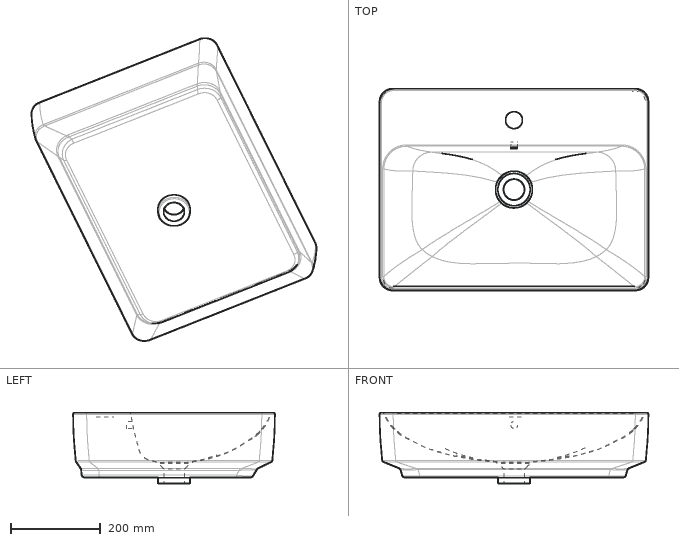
import cadquery as cq
import math

length = 599.0
width = 450.0
height = 158.0

margin = 0.5

wall_draft = 6.0
wall_bow = 1.5
wall_radius = 30.0
wall_bottom_z = 49.0
rim_fillet = 4.0
lower_edge_fillet = 4.0

foot_top_z = 33.0
foot_bottom_z = 13.0
foot_radius = 39.0
foot_edge_fillet = 8.5
foot_neck_fillet = 6.0
foot_top_half, foot_top_front, foot_top_rear = 253.5, -186.0, 207.0
foot_half, foot_front, foot_rear = 248.0, -174.0, 205.5

rim_width = 8.5
basin_half = length / 2 - rim_width
basin_front = -width / 2 + rim_width
deck_front = 97.5
basin_rear_corner = (51.0, 51.0)
basin_front_corner = (23.0, 23.0)
basin_fillet = 3.0
floor_edge_z = 96.0
floor_half, floor_front, floor_rear = 226.0, -163.0, 84.0
floor_front_corner = (43.0, 30.0)
floor_rear_radius = 42.0
floor_bows = (14.5, 21.0)
floor_slopes = (27, 44)
drain_z = 47.5
floor_levels = [
    (drain_z, 27.5, -27.5, 27.5),
    (57.0, 108.0, -81.0, 65.0),
    (75.0, 180.0, -129.0, 78.5),
]

middle_z = 123.0
middle_half, middle_front, middle_rear = 266.5, -196.0, 90.5
middle_front_corner = (30.0, 27.5)
middle_rear_corner = (48.0, 48.0)
middle_bows = (5.0, 7.0)
middle_slopes = (10, 72)

collar_diameter = 72.0
collar_fillet = 2.5
drain_rim_diameter = 82.0
drain_cone_diameter = 72.0
drain_cone_top = 45.5
drain_diameter = 46.0
drain_cone_z = 33.0
drain_clearance = 6.0

tap_diameter = 38.0
tap_y = 154.5
tap_depth = 9.0
overflow_diameter = 15.5
overflow_z = 131.0
overflow_depth = 9.0


def rounded_outline(z, half, front, rear, radius):
    """Closed rectangle, symmetric in X, with round corners."""
    return outline(z, half, front, rear, (radius, radius), (radius, radius))


def outline(z, half, front, rear, front_corner, rear_corner, bows=(0, 0), slopes=(0, 90)):
    """Closed four-sided outline, symmetric in X.

    The (X, Y) setbacks of the corners give where the corner arcs start and end.
    bows are how far the front and side edges have curved inward where they meet the front corner,
    and slopes are the angles of those two edges to the X axis at that corner.
    """
    front_bow, side_bow = bows
    front_slope, side_slope = (math.radians(slope) for slope in slopes)
    front_start = cq.Vector(half - front_corner[0], front + front_bow)
    front_end = cq.Vector(half - side_bow, front + front_corner[1])
    rear_start = cq.Vector(half, rear - rear_corner[1])
    rear_end = cq.Vector(half - rear_corner[0], rear)
    front_tangent = cq.Vector(math.cos(front_slope), math.sin(front_slope))
    side_tangent = cq.Vector(math.cos(side_slope), math.sin(side_slope))

    def mirrored(point):
        return cq.Vector(-point.x, point.y)

    def arc_middle(start, end, turn):
        """Middle of an arc from start to end that turns left by the given angle."""
        chord = end - start
        outward = cq.Vector(chord.y, -chord.x)
        return (start + end) * 0.5 + outward * (math.tan(turn / 4) / 2)

    front_middle = arc_middle(front_start, front_end, side_slope - front_slope)
    rear_middle = arc_middle(rear_start, rear_end, math.pi / 2)

    front_mirror_tangent = cq.Vector(front_tangent.x, -front_tangent.y)
    side_mirror_tangent = cq.Vector(side_tangent.x, -side_tangent.y)
    if front_bow:
        front_edge = cq.Edge.makeSpline(
            [mirrored(front_start), cq.Vector(0, front), front_start],
            tangents=[front_mirror_tangent, front_tangent])
    else:
        front_edge = cq.Edge.makeLine(mirrored(front_start), front_start)
    if side_bow:
        right_edge = cq.Edge.makeSpline([front_end, rear_start], tangents=[side_tangent, cq.Vector(0, 1)])
        left_edge = cq.Edge.makeSpline(
            [mirrored(rear_start), mirrored(front_end)], tangents=[cq.Vector(0, -1), side_mirror_tangent])
    else:
        right_edge = cq.Edge.makeLine(front_end, rear_start)
        left_edge = cq.Edge.makeLine(mirrored(rear_start), mirrored(front_end))
    edges = [
        front_edge,
        cq.Edge.makeThreePointArc(front_start, front_middle, front_end),
        right_edge,
        cq.Edge.makeThreePointArc(rear_start, rear_middle, rear_end),
        cq.Edge.makeLine(rear_end, mirrored(rear_end)),
        cq.Edge.makeThreePointArc(mirrored(rear_end), mirrored(rear_middle), mirrored(rear_start)),
        left_edge,
        cq.Edge.makeThreePointArc(mirrored(front_end), mirrored(front_middle), mirrored(front_start)),
    ]
    return cq.Wire.assembleEdges(edges).translate(cq.Vector(0, 0, z))


def loft(sections, ruled=False):
    return cq.Workplane(cq.Solid.makeLoft(sections, ruled))


def level_selector(z, half_x=length, front=-width, rear=width):
    """Selects what lies flat at one height, within the given outer limits."""
    return cq.selectors.BoxSelector(
        (-half_x - margin, front - margin, z - margin),
        (half_x + margin, rear + margin, z + margin),
        boundingbox=True)


def wall_outline(z, inset):
    half_y = width / 2 - inset
    return rounded_outline(z, length / 2 - inset, -half_y, half_y, wall_radius)


def make_body():
    wall_middle_z = (height + wall_bottom_z) / 2
    wall_bottom = wall_outline(wall_bottom_z, wall_draft)
    shell = loft([wall_bottom, wall_outline(wall_middle_z, wall_bow), wall_outline(height, 0)])

    foot_top = rounded_outline(foot_top_z, foot_top_half, foot_top_front, foot_top_rear, foot_radius)
    foot_bottom = rounded_outline(foot_bottom_z, foot_half, foot_front, foot_rear, foot_radius)
    underside = loft([foot_bottom, foot_top, wall_bottom], ruled=True)
    underside = underside.faces("<Z").edges().fillet(foot_edge_fillet)
    underside = underside.edges(level_selector(foot_top_z)).fillet(foot_neck_fillet)

    body = shell.union(underside)
    body = body.faces(">Z").edges().fillet(rim_fillet)
    body = body.edges(level_selector(wall_bottom_z)).fillet(lower_edge_fillet)

    collar = cq.Workplane("XY").circle(collar_diameter / 2).extrude(drain_cone_z)
    return body.union(collar.faces("<Z").edges().fillet(collar_fillet))


def floor_outline(z, half, front, rear):
    """Floor edge outline stretched to other half length, front and rear."""
    scale_x = half / floor_half
    scale_front = front / floor_front
    scale_rear = rear / floor_rear
    slopes = [
        math.degrees(math.atan(math.tan(math.radians(slope)) * scale_front / scale_x))
        for slope in floor_slopes
    ]
    return outline(
        z, half, front, rear,
        (floor_front_corner[0] * scale_x, floor_front_corner[1] * scale_front),
        (floor_rear_radius * scale_x, floor_rear_radius * scale_rear),
        (floor_bows[0] * scale_front, floor_bows[1] * scale_x),
        slopes)


def make_basin():
    floor_edge = floor_outline(floor_edge_z, floor_half, floor_front, floor_rear)
    opening = outline(height, basin_half, basin_front, deck_front, basin_front_corner, basin_rear_corner)
    middle = outline(
        middle_z, middle_half, middle_front, middle_rear,
        middle_front_corner, middle_rear_corner, middle_bows, middle_slopes)
    sides = loft([floor_edge, middle, opening])
    floor_sections = [floor_outline(*level) for level in floor_levels]
    floor = loft(floor_sections + [floor_edge])
    return sides.union(floor)


def make_drain():
    """Straight outlet with a conical seat and a shallow rim, as one turned cutter."""
    bottom = -margin
    top = drain_z + drain_clearance
    profile = [
        (0, bottom),
        (drain_diameter / 2, bottom),
        (drain_diameter / 2, drain_cone_z),
        (drain_cone_diameter / 2, drain_cone_top),
        (drain_rim_diameter / 2, drain_z),
        (drain_rim_diameter / 2, top),
        (0, top),
    ]
    return cq.Workplane("XZ").polyline(profile).close().revolve(360, (0, 0, 0), (0, 1, 0))


def make_tap_hole():
    hole_floor = cq.Workplane("XY", origin=(0, tap_y, height - tap_depth))
    return hole_floor.circle(tap_diameter / 2).extrude(tap_depth)


def make_overflow():
    """Short blind hole into the rear wall of the basin."""
    overflow_end = deck_front + overflow_depth
    return (
        cq.Workplane("XZ", origin=(0, overflow_end, overflow_z))
        .circle(overflow_diameter / 2)
        .extrude(overflow_end)
    )


result = make_body().cut(make_basin())
result = result.edges(level_selector(height, basin_half, basin_front, deck_front)).fillet(basin_fillet)
result = result.cut(make_drain()).cut(make_tap_hole()).cut(make_overflow())